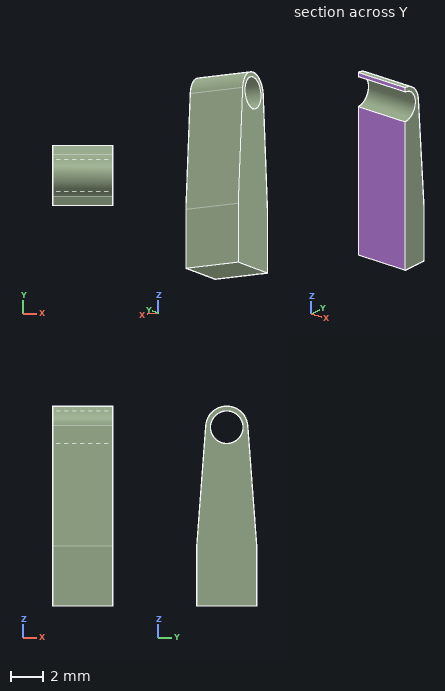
import cadquery as cq
import math

height = 12.47
width = 3.75
depth = 3.75
base_height = 3.75
eye_radius = 1.32
hole_diameter = 2.02

eye_z = height - eye_radius

half_depth = depth / 2
rise = eye_z - base_height
corner_distance = math.hypot(half_depth, rise)
tangent_angle = math.acos(eye_radius / corner_distance) - math.atan2(rise, half_depth)
tangent_y = eye_radius * math.cos(tangent_angle)
tangent_z = eye_z + eye_radius * math.sin(tangent_angle)

body = (
    cq.Workplane("YZ")
    .moveTo(-half_depth, 0)
    .lineTo(half_depth, 0)
    .lineTo(half_depth, base_height)
    .lineTo(tangent_y, tangent_z)
    .threePointArc((0, height), (-tangent_y, tangent_z))
    .lineTo(-half_depth, base_height)
    .close()
    .extrude(width / 2, both=True)
)

hole = (
    cq.Workplane("YZ")
    .center(0, eye_z)
    .circle(hole_diameter / 2)
    .extrude(width / 2, both=True)
)

result = body.cut(hole)